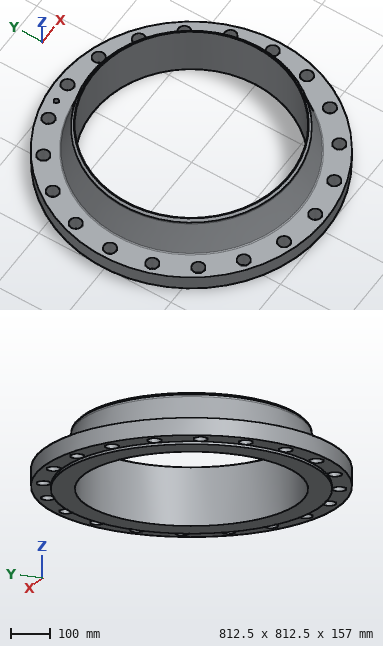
import cadquery as cq
import math

flange_diameter = 812.5
flange_thickness = 46.0
raised_face_diameter = 712.0
raised_face_height = 7.0

overall_height = 157.0
bore_diameter = 590.0
neck_base_diameter = 663.0
neck_base_fillet = 3.0
neck_end_diameter = 609.5
neck_end_length = 12.0
weld_land = 2.5
weld_bevel_height = 7.0

bolt_count = 20
bolt_circle_diameter = 749.0
bolt_hole_diameter = 36.0
blind_hole_diameter = 14.0
blind_hole_depth = 24.0

flange_top = raised_face_height + flange_thickness
bolt_pitch_angle = 360.0 / bolt_count


def on_bolt_circle(angle):
    """Point on the bolt circle at an angle in degrees from +X."""
    radius = bolt_circle_diameter / 2
    return (radius * math.cos(math.radians(angle)), radius * math.sin(math.radians(angle)))


def flange_body():
    """Raised face, flange, neck and bore revolved about Z, with the neck root rounded."""
    bore_radius = bore_diameter / 2
    flange_radius = flange_diameter / 2
    raised_face_radius = raised_face_diameter / 2
    neck_base_radius = neck_base_diameter / 2
    neck_end_radius = neck_end_diameter / 2
    section = [
        (bore_radius, 0),
        (raised_face_radius, 0),
        (raised_face_radius, raised_face_height),
        (flange_radius, raised_face_height),
        (flange_radius, flange_top),
        (neck_base_radius, flange_top),
        (neck_end_radius, overall_height - neck_end_length),
        (neck_end_radius, overall_height - weld_bevel_height),
        (bore_radius + weld_land, overall_height),
        (bore_radius, overall_height),
    ]
    body = cq.Workplane("XZ").polyline(section).close().revolve(360, (0, 0), (0, 1))

    margin = neck_base_fillet
    reach = neck_base_radius + margin
    neck_root = cq.selectors.BoxSelector(
        (-reach, -reach, flange_top - margin),
        (reach, reach, flange_top + margin),
        boundingbox=True,
    )
    return body.edges(neck_root).fillet(neck_base_fillet)


def bolt_holes():
    """Through holes evenly spaced on the bolt circle, the first on +X."""
    centres = [on_bolt_circle(i * bolt_pitch_angle) for i in range(bolt_count)]
    return cq.Workplane("XY").pushPoints(centres).circle(bolt_hole_diameter / 2).extrude(flange_top)


def blind_hole():
    """Small hole in the flange top, half a bolt pitch beyond +Y."""
    return (
        cq.Workplane("XY", origin=(0, 0, flange_top))
        .pushPoints([on_bolt_circle(90 + bolt_pitch_angle / 2)])
        .circle(blind_hole_diameter / 2)
        .extrude(-blind_hole_depth)
    )


result = flange_body().cut(bolt_holes()).cut(blind_hole())